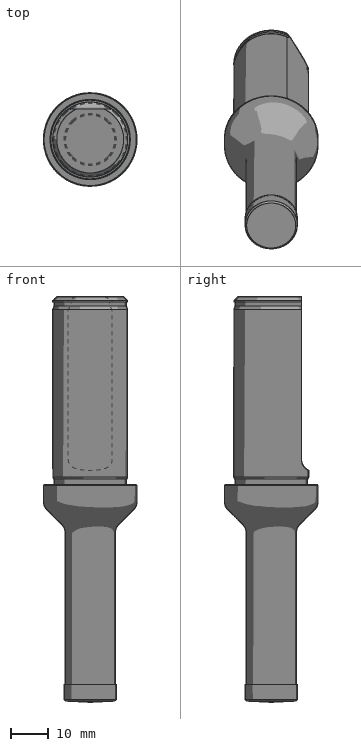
import cadquery as cq
import math

TOTAL_HEIGHT = 108.0
TIP_TOP = 4.8
FILLET_BOTTOM = 45.1
FLANGE_TOP = 58.0
SHANK_BOTTOM = 59.5

SHANK_RADIUS = 20.0 / 2
TOP_CHAMFER = 1.1
SHANK_END_RADIUS = 19.5 / 2
SHANK_END_CHAMFER = 0.4
GROOVE_RADIUS = 9.6
GROOVE_TOP = TOTAL_HEIGHT - 1.4
GROOVE_FLOOR_LENGTH = 1.1
GROOVE_TAPER_LENGTH = 1.0
FLAT_DISTANCE = 8.1
FLAT_RUNOUT_Z = 61.8
RUNOUT_RADIUS = 3.0

FLANGE_RADIUS = 25.0 / 2
FLANGE_CHAMFER = 0.2
RELIEF_RADIUS = 10.7
RELIEF_DEPTH = 0.2

STEM_RADIUS = 13.4 / 2
BLEND_RADIUS = 3.0
BLEND_ANGLE = math.radians(45)

TIP_RADIUS = 13.9 / 2
TIP_CHAMFER = 0.4
TIP_POINT_HEIGHT = 0.3


def arc_offset(angle):
    """Inward and axial travel along a blend arc that starts parallel to the axis."""
    return BLEND_RADIUS * (1 - math.cos(angle)), BLEND_RADIUS * math.sin(angle)


def make_holder_blank():
    """Stem, flange and shank as one turned profile."""
    mid_in, mid_up = arc_offset(BLEND_ANGLE / 2)
    end_in, end_up = arc_offset(BLEND_ANGLE)
    cone_bottom = (STEM_RADIUS + end_in, FILLET_BOTTOM + end_up)
    cone_top_radius = FLANGE_RADIUS - end_in
    cone_height = (cone_top_radius - cone_bottom[0]) / math.tan(BLEND_ANGLE)
    cone_top_z = cone_bottom[1] + cone_height
    rim_bottom = cone_top_z + end_up
    groove_floor_bottom = GROOVE_TOP - GROOVE_FLOOR_LENGTH
    relief_bottom = FLANGE_TOP - RELIEF_DEPTH
    return (
        cq.Workplane("XZ")
        .moveTo(0, TIP_TOP)
        .lineTo(STEM_RADIUS, TIP_TOP)
        .lineTo(STEM_RADIUS, FILLET_BOTTOM)
        .threePointArc((STEM_RADIUS + mid_in, FILLET_BOTTOM + mid_up), cone_bottom)
        .lineTo(cone_top_radius, cone_top_z)
        .threePointArc((FLANGE_RADIUS - mid_in, rim_bottom - mid_up), (FLANGE_RADIUS, rim_bottom))
        .lineTo(FLANGE_RADIUS, FLANGE_TOP - FLANGE_CHAMFER)
        .lineTo(FLANGE_RADIUS - FLANGE_CHAMFER, FLANGE_TOP)
        .lineTo(RELIEF_RADIUS, FLANGE_TOP)
        .lineTo(RELIEF_RADIUS - RELIEF_DEPTH, relief_bottom)
        .lineTo(GROOVE_RADIUS, relief_bottom)
        .lineTo(GROOVE_RADIUS, SHANK_BOTTOM)
        .lineTo(SHANK_END_RADIUS, SHANK_BOTTOM)
        .lineTo(SHANK_RADIUS, SHANK_BOTTOM + SHANK_END_CHAMFER)
        .lineTo(SHANK_RADIUS, groove_floor_bottom - GROOVE_TAPER_LENGTH)
        .lineTo(GROOVE_RADIUS, groove_floor_bottom)
        .lineTo(GROOVE_RADIUS, GROOVE_TOP)
        .lineTo(SHANK_RADIUS, GROOVE_TOP)
        .lineTo(SHANK_RADIUS, TOTAL_HEIGHT - TOP_CHAMFER)
        .lineTo(SHANK_RADIUS - TOP_CHAMFER, TOTAL_HEIGHT)
        .lineTo(0, TOTAL_HEIGHT)
        .close()
        .revolve(360, (0, 0, 0), (0, 1, 0))
    )


def make_flat_cutter():
    """Material removed on the +Y side of the shank, with a rounded lower runout."""
    flat_depth = SHANK_RADIUS - FLAT_DISTANCE
    runout_angle = math.acos(1 - flat_depth / RUNOUT_RADIUS)
    runout_height = RUNOUT_RADIUS * math.sin(runout_angle)
    flat_bottom = FLAT_RUNOUT_Z + runout_height
    mid_out = RUNOUT_RADIUS * (1 - math.cos(runout_angle / 2))
    mid_down = RUNOUT_RADIUS * math.sin(runout_angle / 2)
    return (
        cq.Workplane("YZ")
        .moveTo(FLAT_DISTANCE, TOTAL_HEIGHT)
        .lineTo(FLAT_DISTANCE, flat_bottom)
        .threePointArc(
            (FLAT_DISTANCE + mid_out, flat_bottom - mid_down),
            (SHANK_RADIUS, FLAT_RUNOUT_Z),
        )
        .lineTo(SHANK_RADIUS, TOTAL_HEIGHT)
        .close()
        .extrude(SHANK_RADIUS, both=True)
    )


def make_tip():
    """Slightly wider end piece with a chamfered edge and a shallow conical point."""
    return (
        cq.Workplane("XZ")
        .lineTo(TIP_RADIUS - TIP_CHAMFER, TIP_POINT_HEIGHT)
        .lineTo(TIP_RADIUS, TIP_POINT_HEIGHT + TIP_CHAMFER)
        .lineTo(TIP_RADIUS, TIP_TOP)
        .lineTo(0, TIP_TOP)
        .close()
        .revolve(360, (0, 0, 0), (0, 1, 0))
    )


holder = make_holder_blank().cut(make_flat_cutter())
tip = make_tip()

result = cq.Compound.makeCompound([holder.val(), tip.val()])